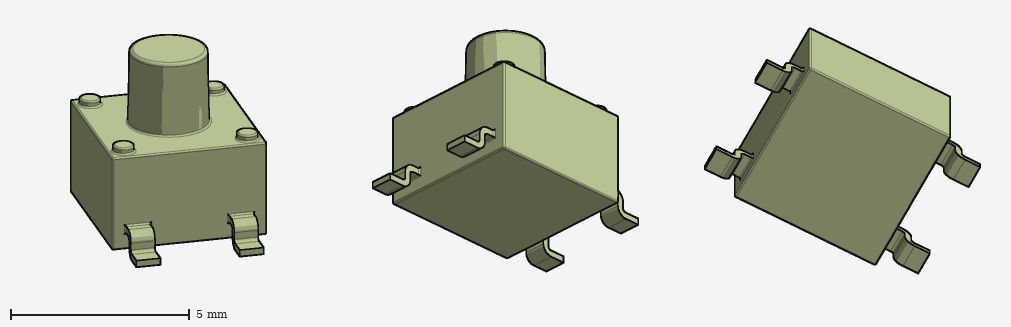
import cadquery as cq
import math

span = 6.8
total_height = 5.1

body_side = 4.5
body_bottom = 0.1
body_top = 2.905
small_radius = 0.05

button_base_radius = 1.15
button_top_radius = 1.11
button_fillet = 0.1

peg_radius = 0.3
peg_height = 0.2
peg_offset = 1.8

lead_thickness = 0.205
lead_width = 0.7
lead_offset = 1.5
lead_top = 0.8
foot_length = 0.495
bend_inner = 0.095
bend_outer = bend_inner + lead_thickness
root_depth = 0.07
selection_slack = 0.001


def make_body():
    height = body_top - body_bottom
    body = cq.Workplane("XY").box(body_side, body_side, height, centered=(True, True, False))
    return body.edges().fillet(small_radius).translate((0, 0, body_bottom))


def make_button():
    return (
        cq.Workplane("XY", origin=(0, 0, body_top))
        .circle(button_base_radius)
        .workplane(offset=total_height - body_top)
        .circle(button_top_radius)
        .loft()
        .faces(">Z").edges().fillet(button_fillet)
    )


def make_peg(x, y):
    peg = cq.Workplane("XY", origin=(x, y, body_top)).circle(peg_radius).extrude(peg_height)
    return peg.faces(">Z").edges().fillet(small_radius)


def make_lead(side, y):
    """S-bent strip on the +X (side=1) or -X (side=-1) face of the housing."""
    tip_x = span / 2
    foot_bend_x = tip_x - foot_length
    upper_bend_x = foot_bend_x - bend_outer - bend_inner
    root_x = body_side / 2 - root_depth
    foot_bend_z = bend_outer
    upper_bend_z = lead_top - bend_outer
    diagonal = math.sqrt(0.5)

    def bend_middle(x, z, radius, sign):
        return (x + sign * radius * diagonal, z + sign * radius * diagonal)

    lead = (
        cq.Workplane("XZ")
        .moveTo(root_x, lead_top)
        .lineTo(upper_bend_x, lead_top)
        .threePointArc(
            bend_middle(upper_bend_x, upper_bend_z, bend_outer, 1),
            (upper_bend_x + bend_outer, upper_bend_z),
        )
        .lineTo(foot_bend_x - bend_inner, foot_bend_z)
        .threePointArc(
            bend_middle(foot_bend_x, foot_bend_z, bend_inner, -1),
            (foot_bend_x, lead_thickness),
        )
        .lineTo(tip_x, lead_thickness)
        .lineTo(tip_x, 0)
        .lineTo(foot_bend_x, 0)
        .threePointArc(
            bend_middle(foot_bend_x, foot_bend_z, bend_outer, -1),
            (foot_bend_x - bend_outer, foot_bend_z),
        )
        .lineTo(upper_bend_x + bend_inner, upper_bend_z)
        .threePointArc(
            bend_middle(upper_bend_x, upper_bend_z, bend_inner, 1),
            (upper_bend_x, lead_top - lead_thickness),
        )
        .lineTo(root_x, lead_top - lead_thickness)
        .close()
        .extrude(lead_width / 2, both=True)
    )
    if side < 0:
        lead = lead.mirror("YZ")
    return lead.translate((0, y, 0))


def fillet_roots(part):
    """Round the concave edges where the button, pegs and leads meet the housing."""
    inner_half = body_side / 2 - 2 * small_radius
    top_roots = cq.selectors.BoxSelector(
        (-inner_half, -inner_half, body_top - selection_slack),
        (inner_half, inner_half, body_top + selection_slack),
        boundingbox=True,
    )
    part = part.edges(top_roots).fillet(small_radius)
    for side in (-1, 1):
        face_x = side * body_side / 2
        lead_roots = cq.selectors.BoxSelector(
            (face_x - selection_slack, -inner_half, body_bottom + 2 * small_radius),
            (face_x + selection_slack, inner_half, body_top - 2 * small_radius),
            boundingbox=True,
        )
        part = part.edges(lead_roots).fillet(small_radius)
    return part


result = make_body().union(make_button())
for side_x in (-1, 1):
    for side_y in (-1, 1):
        result = result.union(make_peg(side_x * peg_offset, side_y * peg_offset))
        result = result.union(make_lead(side_x, side_y * lead_offset))
result = fillet_roots(result)